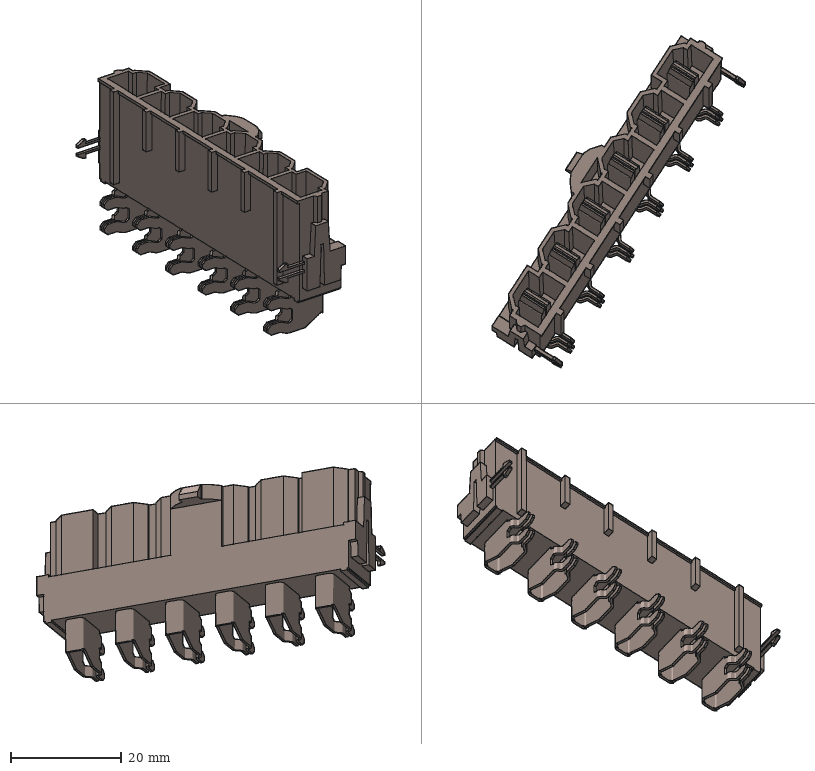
import cadquery as cq
import math


way_count = 6
row_length = 50.0
pitch = row_length / (way_count - 1)
half_width = 30.5
height = 20.55
front_y = -9.45
ledge_z = 8.6
web_y = -2.9
socket_back_y = -0.6
cavity_floor_z = 1.9
foot_height = 0.4
foot_inner_x = 28.9
foot_outer_x = 30.2

lip_depth = 0.4
lip_height = 0.6
rib_width = 1.1
rib_depth = 1.35
rib_end_z = 12.45
long_rib_end_z = 1.65

latch_z = 17.7
latch_half_width = 5.1
latch_back_y = 2.0
hook_back_y = 3.3
hook_width = 3.75
hook_lip_z = 18.7

clip_half_width = 31.9
clip_shoulder_z = 9.05
clip_block_inner_x = 29.55
prong_outer_x = 31.15

sheet = 0.45
terminal_width = 3.75
terminal_half_width = terminal_width / 2
terminal_back_y = -0.95
terminal_bottom_z = -8.05
terminal_embed_z = 0.65
bend_radius = 0.95
wall_front_y = -8.9
tine_outer_x = 0.7
s_bend_degrees = 55
tine_tip_y = -12.95

s_bend_turn = math.radians(s_bend_degrees)
bend_radii = 2 * bend_radius - sheet
s_bend_straight = (
    terminal_half_width - tine_outer_x - bend_radii * (1 - math.cos(s_bend_turn))
) / math.sin(s_bend_turn)
s_bend_run = bend_radii * math.sin(s_bend_turn) + s_bend_straight * math.cos(s_bend_turn)
tine_start_y = wall_front_y - s_bend_run

way_centres = [(i - (way_count - 1) / 2) * pitch for i in range(way_count)]


def block(x_range, y_range, z_range):
    """Box between pairs of limits."""
    (x0, x1), (y0, y1), (z0, z1) = x_range, y_range, z_range
    return cq.Workplane("XY").box(x1 - x0, y1 - y0, z1 - z0, centered=False).translate((x0, y0, z0))


def side_profile(points, x_start, x_end):
    """Outline given as (y, z) points, extruded along X."""
    return cq.Workplane("YZ").polyline(points).close().extrude(x_end - x_start).translate((x_start, 0, 0))


def mirrored_pair(solid):
    return solid.union(solid.mirror("YZ"))


def on_circle(centre, radius, degrees):
    """Point on a circle, counted anticlockwise from the first axis."""
    angle = math.radians(degrees)
    return (centre[0] + radius * math.cos(angle), centre[1] + radius * math.sin(angle))


shoulder_width = 8.5
shoulder_x = shoulder_width / 2
tower_top_x = 2.25
square_side_x = 4.1
slant_foot_y = -2.55

cavity_half_width = 4.5
cavity_front_y = -8.4
cavity_step_y = -3.65
cavity_neck_x = 3.3
cavity_slant_y = -2.75
cavity_top_x = 1.9
cavity_back_y = -1.35
cavity_draft = 0.2


def tower_outline(square_side):
    """Tower corners; square_side is the side (+1 or -1) with a square rear corner, or 0."""
    corners = []
    for side in (-1, 1):
        if side == square_side:
            edge = [(square_side_x, web_y), (square_side_x, socket_back_y)]
        else:
            edge = [(shoulder_x, web_y), (shoulder_x, slant_foot_y), (tower_top_x, socket_back_y)]
        points = [(side * x, y) for x, y in edge]
        corners += points if side < 0 else points[::-1]
    return corners


def cavity_outline(square_side, lean):
    """Cavity corners with the rear walls shifted forward by lean, along the 45 degree slants."""
    corners = []
    for side in (-1, 1):
        edge = [
            (cavity_half_width, cavity_front_y),
            (cavity_half_width, cavity_step_y - lean),
            (cavity_neck_x, cavity_step_y - lean),
        ]
        if side == square_side:
            edge += [(cavity_neck_x, cavity_back_y - lean)]
        else:
            edge += [(cavity_neck_x, cavity_slant_y), (cavity_top_x + lean, cavity_back_y - lean)]
        points = [(side * x, y) for x, y in edge]
        corners += points if side < 0 else points[::-1]
    return corners


def make_tower(square_side):
    tower = cq.Workplane("XY").workplane(offset=ledge_z)
    return tower.polyline(tower_outline(square_side)).close().extrude(height - ledge_z)


def make_cavity(square_side):
    floor = cq.Workplane("XY").workplane(offset=cavity_floor_z)
    floor = floor.polyline(cavity_outline(square_side, cavity_draft)).close()
    rim = floor.workplane(offset=height - cavity_floor_z).polyline(cavity_outline(square_side, 0)).close()
    return rim.loft(ruled=True)


contact_back_y = -2.3
contact_front_y = -7.2
contact_half_width = 1.5
contact_shoulder_radius = 0.3
contact_tip_x = 0.45
contact_gap_x = 0.1
contact_shoulder_z = 15.1
contact_tip_z = 16.6


def make_contact():
    """Two blades side by side, each with a rounded shoulder and a tapered tip."""
    shoulder_centre = (
        contact_half_width - contact_shoulder_radius,
        contact_shoulder_z - contact_shoulder_radius,
    )
    right = (
        cq.Workplane("XZ", origin=(0, contact_back_y, 0))
        .moveTo(contact_gap_x, 0)
        .lineTo(contact_half_width, 0)
        .lineTo(contact_half_width, shoulder_centre[1])
        .threePointArc(
            on_circle(shoulder_centre, contact_shoulder_radius, 45),
            (shoulder_centre[0], contact_shoulder_z),
        )
        .lineTo(contact_tip_x, contact_tip_z)
        .lineTo(contact_gap_x, contact_tip_z)
        .close()
        .extrude(contact_back_y - contact_front_y)
    )
    return mirrored_pair(right)


tine_height = 2.1
tine_pitch = 5.0
tine_chamfer_y = 0.75
tine_chamfer_z = 0.7
wall_front_edge_y = -8.25
root_slant_z = 0.45
rear_bottom_z = -6.3
wall_bottom_z = -6.0
slope_end_y = -5.4


def make_terminal():
    """Open channel of folded sheet; its side walls step inward and run on as paired tines."""
    inner_radius = bend_radius - sheet
    inner_x = terminal_half_width - sheet
    tine_inner_x = tine_outer_x - sheet
    rear_bend = (terminal_half_width - bend_radius, terminal_back_y - bend_radius)
    wall_bend = (terminal_half_width - bend_radius, wall_front_y)
    tine_bend = (tine_outer_x + inner_radius, tine_start_y)
    turn = s_bend_degrees
    plan = (
        cq.Workplane("XY")
        .workplane(offset=terminal_bottom_z)
        .moveTo(0, terminal_back_y)
        .lineTo(rear_bend[0], terminal_back_y)
        .threePointArc(on_circle(rear_bend, bend_radius, 45), (terminal_half_width, rear_bend[1]))
        .lineTo(terminal_half_width, wall_front_y)
        .threePointArc(on_circle(wall_bend, bend_radius, -turn / 2), on_circle(wall_bend, bend_radius, -turn))
        .lineTo(*on_circle(tine_bend, inner_radius, 180 - turn))
        .threePointArc(on_circle(tine_bend, inner_radius, 180 - turn / 2), (tine_outer_x, tine_start_y))
        .lineTo(tine_outer_x, tine_tip_y)
        .lineTo(tine_inner_x, tine_tip_y)
        .lineTo(tine_inner_x, tine_start_y)
        .threePointArc(
            on_circle(tine_bend, bend_radius, 180 - turn / 2),
            on_circle(tine_bend, bend_radius, 180 - turn),
        )
        .lineTo(*on_circle(wall_bend, inner_radius, -turn))
        .threePointArc(on_circle(wall_bend, inner_radius, -turn / 2), (inner_x, wall_front_y))
        .lineTo(inner_x, rear_bend[1])
        .threePointArc(on_circle(rear_bend, inner_radius, 45), (rear_bend[0], terminal_back_y - sheet))
        .lineTo(0, terminal_back_y - sheet)
        .close()
        .extrude(terminal_embed_z - terminal_bottom_z)
    )
    return mirrored_pair(plan).intersect(terminal_side())


def terminal_side():
    lower_top = terminal_bottom_z + tine_height
    upper_bottom = terminal_bottom_z + tine_pitch
    upper_top = upper_bottom + tine_height
    wall_y = wall_front_edge_y
    root_y = wall_front_y
    chamfer_y = tine_tip_y + tine_chamfer_y
    bend_end_y = terminal_back_y - bend_radius
    return side_profile(
        [
            (terminal_back_y, terminal_embed_z),
            (wall_y, terminal_embed_z),
            (wall_y, upper_top + root_slant_z),
            (root_y, upper_top),
            (chamfer_y, upper_top),
            (tine_tip_y, upper_top - tine_chamfer_z),
            (tine_tip_y, upper_bottom + tine_chamfer_z),
            (chamfer_y, upper_bottom),
            (root_y, upper_bottom),
            (wall_y, upper_bottom - root_slant_z),
            (wall_y, lower_top + root_slant_z),
            (root_y, lower_top),
            (chamfer_y, lower_top),
            (tine_tip_y, lower_top - tine_chamfer_z),
            (tine_tip_y, terminal_bottom_z + tine_chamfer_z),
            (chamfer_y, terminal_bottom_z),
            (slope_end_y, terminal_bottom_z),
            (bend_end_y, wall_bottom_z),
            (terminal_back_y - sheet, wall_bottom_z),
            (terminal_back_y - sheet, rear_bottom_z),
            (terminal_back_y, rear_bottom_z),
        ],
        -terminal_half_width,
        terminal_half_width,
    )


def make_latch():
    corner_x, corner_y = 3.4, 1.4
    crown_x = 2.1
    right_half = [
        (latch_half_width, socket_back_y),
        (latch_half_width, 0),
        (corner_x, corner_y),
        (crown_x, latch_back_y),
    ]
    left_half = [(-x, y) for x, y in reversed(right_half)]
    outline = cq.Workplane("XY").workplane(offset=latch_z).polyline(right_half + left_half).close()
    flange = outline.extrude(height - latch_z)
    hook = side_profile(
        [
            (0, latch_z),
            (hook_back_y, latch_z),
            (hook_back_y, hook_lip_z),
            (latch_back_y, height),
            (0, height),
        ],
        -hook_width / 2,
        hook_width / 2,
    )
    rear_wall = block((-latch_half_width, latch_half_width), (socket_back_y, 0), (ledge_z, height))
    return flange.union(hook).union(rear_wall)


def make_prong(direction):
    """Prong of the left clip; direction is +1 for the upper and -1 for the lower one."""
    axis_z = 7.0
    inner, outer, barb = 0.65, 1.1, 1.85
    root_y, barb_y, crest_y, tip_y = -8.3, -12.5, -13.0, -14.35
    outline = [
        (root_y, inner),
        (tip_y, inner),
        (tip_y, outer),
        (crest_y, barb),
        (barb_y, barb),
        (barb_y, outer),
        (root_y, outer),
    ]
    points = [(y, axis_z + direction * offset) for y, offset in outline]
    return side_profile(points, -prong_outer_x, -half_width)


def make_left_clip():
    clip_bottom_z = 2.5
    step_z = 5.35
    front_edge_y = -8.7
    head_z = 15.2
    slit_top_z = 11.0
    outline = [
        (0, clip_shoulder_z),
        (-3.5, clip_shoulder_z),
        (-3.9, head_z),
        (-6.75, head_z),
        (-7.1, clip_shoulder_z),
        (front_edge_y, clip_shoulder_z),
        (front_edge_y, clip_bottom_z),
        (-5.8, clip_bottom_z),
        (-5.55, slit_top_z),
        (-5.0, slit_top_z),
        (-4.8, clip_bottom_z),
        (-1.15, clip_bottom_z),
        (-0.95, step_z),
        (0, step_z),
    ]
    clip = side_profile(outline, -clip_half_width, -half_width)
    corner = block((-half_width, -clip_block_inner_x), (web_y, 0), (step_z, clip_shoulder_z))
    return clip.union(corner).union(make_prong(1)).union(make_prong(-1))


def make_left_bead():
    """Chamfered bead on the end wall, running down to the clip's shoulder."""
    bead = [(-half_width, -4.35), (-prong_outer_x, -4.9), (-prong_outer_x, -5.75), (-half_width, -6.2)]
    outline = cq.Workplane("XY").workplane(offset=clip_shoulder_z).polyline(bead).close()
    return outline.extrude(height - clip_shoulder_z)


def make_left_foot():
    return block((-foot_outer_x, -foot_inner_x), (front_y, 0), (-foot_height, 0))


def make_rib(centre, end_z):
    x_range = (centre - rib_width / 2, centre + rib_width / 2)
    return block(x_range, (front_y - rib_depth, front_y), (end_z, height))


full_width = (-half_width, half_width)
body = block(full_width, (front_y, 0), (0, ledge_z))
body = body.union(block(full_width, (front_y, web_y), (ledge_z, height)))
body = body.union(block(full_width, (front_y - lip_depth, front_y), (height - lip_height, height)))
body = body.union(make_latch())
for side_part in (make_left_clip(), make_left_bead(), make_left_foot()):
    body = body.union(mirrored_pair(side_part))

square_sides = [1] + [0] * (way_count - 2) + [-1]
contact = make_contact()
terminal = make_terminal()
for centre, square_side in zip(way_centres, square_sides):
    at_way = (centre, 0, 0)
    is_end_way = square_side != 0
    body = body.union(make_tower(square_side).translate(at_way))
    body = body.cut(make_cavity(square_side).translate(at_way))
    body = body.union(make_rib(centre, long_rib_end_z if is_end_way else rib_end_z))
    body = body.union(contact.translate(at_way)).union(terminal.translate(at_way))

result = body